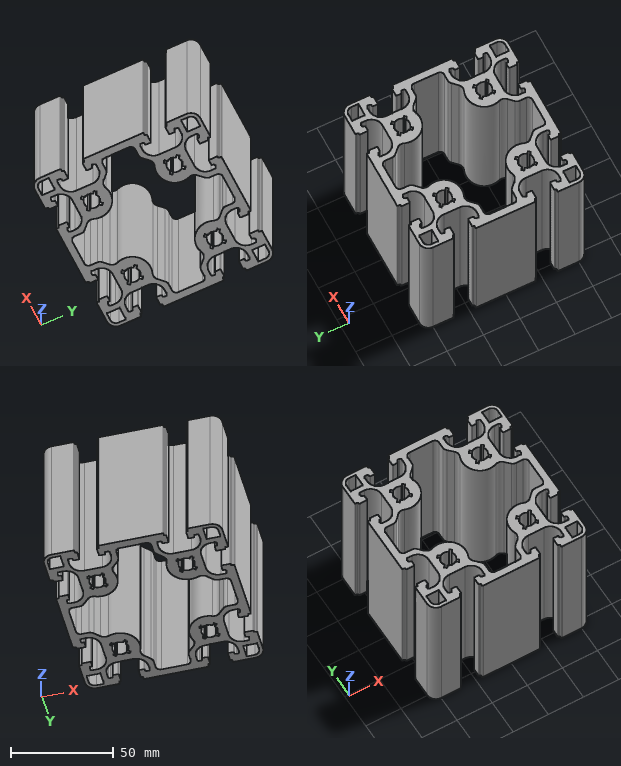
import cadquery as cq
import math

side = 90.0
length = 80.0
slot_offset = side / 4
outer_corner_radius = 5.0

recess_half_width = 6.0
recess_depth = 1.6
mouth_half_width = 4.95
lip_half_width = 8.1
lip_depth = 6.4
groove_half_width = 10.5
groove_depth = 4.9
slot_depth = 14.0
slot_floor_radius = 6.0
groove_corner_radius = 0.8
lip_edge_radius = 0.4

hollow_wall = 2.0
hollow_size = 7.0
hollow_corner_radius = outer_corner_radius - hollow_wall

bore_diameter = 8.0
relief_length = 11.0
relief_width = 1.4
boss_radius = 9.9

core_wall = 4.1
arm_half_width = 8.8
diagonal_reach = 42.5
core_corner_radius = 2.25
core_bend_radius = 3.15
boss_blend_radius = 3.6

bore_places = [(x, y) for x in (-slot_offset, slot_offset) for y in (-slot_offset, slot_offset)]


def round_corner(body, x, y, radius):
    """Fillet the upright edge that stands at (x, y)."""
    corner = cq.selectors.NearestToPointSelector((x, y, length / 2))
    return body.edges("|Z").edges(corner).fillet(radius)


def make_slot():
    """T-slot cutter for the +Y side, centred on X = 0, with a wide head outside the block."""
    face = side / 2
    head_half_width = recess_half_width + 2 * lip_edge_radius
    rounded_corners = [
        (recess_half_width, face, lip_edge_radius),
        (recess_half_width, face - recess_depth, lip_edge_radius),
        (mouth_half_width, face - recess_depth, lip_edge_radius),
        (mouth_half_width, face - lip_depth, lip_edge_radius),
        (lip_half_width, face - lip_depth, lip_edge_radius),
        (lip_half_width, face - groove_depth, groove_corner_radius),
        (groove_half_width, face - groove_depth, groove_corner_radius),
        (groove_half_width, face - slot_depth, slot_floor_radius),
    ]
    half = [(head_half_width, face + lip_edge_radius), (head_half_width, face)]
    half += [(x, y) for x, y, radius in rounded_corners]
    other_half = [(-x, y) for x, y in reversed(half)]
    slot = cq.Workplane("XY").polyline(half + other_half).close().extrude(length)
    for x, y, radius in rounded_corners:
        slot = round_corner(slot, x, y, radius)
        slot = round_corner(slot, -x, y, radius)
    return slot


def make_core():
    """Cavity in the middle, with the four bosses left standing."""
    arm_end = side / 2 - core_wall
    arm_root = diagonal_reach - arm_half_width
    outline = []
    boss_feet = []

    face_middle = diagonal_reach / 2
    boss_inset = math.sqrt(2) * (slot_offset - face_middle)
    half_chord = math.sqrt(boss_radius**2 - boss_inset**2)
    foot_far = face_middle + half_chord / math.sqrt(2)
    foot_near = face_middle - half_chord / math.sqrt(2)

    for x_sign, y_sign in ((1, 1), (-1, 1), (-1, -1), (1, -1)):
        quarter = [
            (x_sign * arm_end, y_sign * arm_half_width, core_corner_radius),
            (x_sign * arm_root, y_sign * arm_half_width, core_bend_radius),
            (x_sign * arm_half_width, y_sign * arm_root, core_bend_radius),
            (x_sign * arm_half_width, y_sign * arm_end, core_corner_radius),
        ]
        outline += quarter if x_sign == y_sign else quarter[::-1]
        boss_feet += [
            (x_sign * foot_far, y_sign * foot_near),
            (x_sign * foot_near, y_sign * foot_far),
        ]

    core = cq.Workplane("XY").polyline([(x, y) for x, y, radius in outline]).close().extrude(length)
    for x, y, radius in outline:
        core = round_corner(core, x, y, radius)
    core = core.cut(cq.Workplane("XY").pushPoints(bore_places).circle(boss_radius).extrude(length))
    for x, y in boss_feet:
        core = round_corner(core, x, y, boss_blend_radius)
    return core


def make_corner_hollow():
    """Square hollow in the +X +Y corner, rounded on its outer edge."""
    centre = side / 2 - hollow_wall - hollow_size / 2
    hollow = cq.Workplane("XY").center(centre, centre).rect(hollow_size, hollow_size).extrude(length)
    return hollow.edges("|Z").edges(">(1, 1, 0)").fillet(hollow_corner_radius)


def make_bores():
    """Round screw bores, each crossed by two thin diagonal slots."""
    bore = cq.Workplane("XY").circle(bore_diameter / 2).extrude(length)
    relief = cq.Workplane("XY").rect(relief_length, relief_width).extrude(length)
    for angle in (45, 135):
        bore = bore.union(relief.rotate((0, 0, 0), (0, 0, 1), angle))
    return cq.Workplane("XY").pushPoints(bore_places).eachpoint(lambda place: bore.val().moved(place))


result = cq.Workplane("XY").rect(side, side).extrude(length)
result = result.edges("|Z").fillet(outer_corner_radius)
result = result.cut(make_core()).cut(make_bores())

slot = make_slot()
corner_hollow = make_corner_hollow()
for turn in range(4):
    cutters = [corner_hollow] + [slot.translate((x, 0, 0)) for x in (-slot_offset, slot_offset)]
    for cutter in cutters:
        result = result.cut(cutter.rotate((0, 0, 0), (0, 0, 1), 90 * turn))